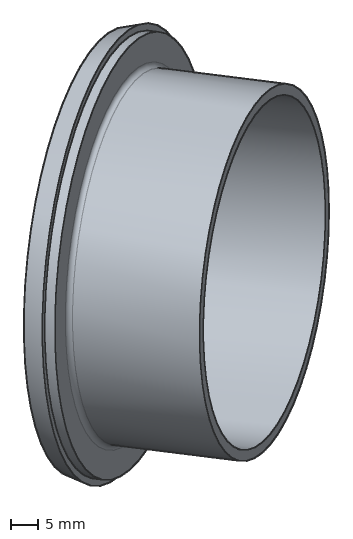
import cadquery as cq

length = 32.0
bore_diameter = 66.0
tube_diameter = 70.1

rim_face_diameter = 83.8
rim_diameter = 86.0
rim_thickness = 4.0

step_diameter = 83.25
step_thickness = 2.0
fillet_radius = 1.0

bore_radius = bore_diameter / 2
tube_radius = tube_diameter / 2
step_radius = step_diameter / 2
flange_thickness = rim_thickness + step_thickness

profile = (
    cq.Workplane("XY")
    .moveTo(0, bore_radius)
    .lineTo(0, rim_face_diameter / 2)
    .lineTo(rim_thickness, rim_diameter / 2)
    .lineTo(rim_thickness, step_radius)
    .lineTo(flange_thickness, step_radius)
    .lineTo(flange_thickness, tube_radius + fillet_radius)
    .radiusArc((flange_thickness + fillet_radius, tube_radius), -fillet_radius)
    .lineTo(length, tube_radius)
    .lineTo(length, bore_radius)
    .close()
)

result = profile.revolve(360, (0, 0, 0), (1, 0, 0))